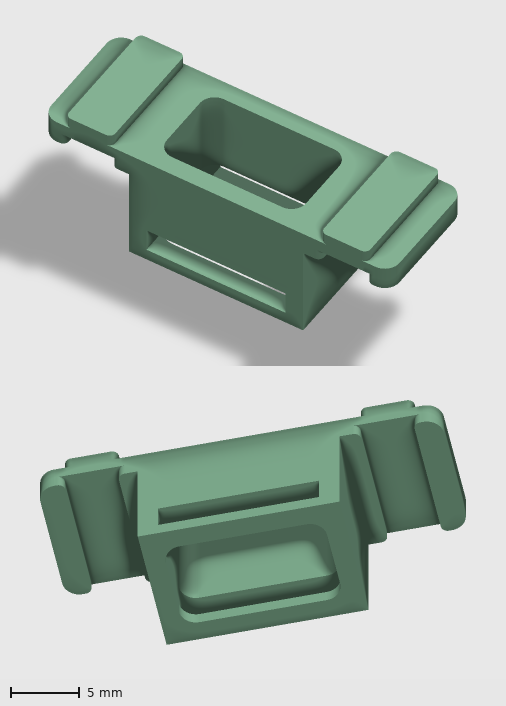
import cadquery as cq

length = 30.0
width = length / 3
unit = length / 30
plate_thickness = 2 * unit
plate_bottom = 8 * unit
plate_top = plate_bottom + plate_thickness
plate_corner_radius = 1.25

body_length = length / 2
wall = 1.5 * unit
opening_length = body_length - 2 * wall
opening_width = width - 2 * wall
opening_corner_radius = 1.25

window_height = 2 * unit
window_sill = unit

pad_length = 4 * unit
pad_height = unit
pad_offset = 11 * unit
pad_corner_radius = 0.5 * unit
groove_depth = unit
groove_mouth_radius = 0.5 * unit


def block(size_x, size_y, height, bottom, center_x=0):
    """Box centred on Y = 0, with its lower face at the given height."""
    return (
        cq.Workplane("XY", origin=(center_x, 0, bottom))
        .box(size_x, size_y, height, centered=(True, True, False))
    )


def grooved_plate():
    plate = block(length, width, plate_thickness, plate_bottom)
    plate = plate.edges("|Z").fillet(plate_corner_radius)
    for center_x in (-pad_offset, pad_offset):
        plate = plate.cut(groove(center_x))
    return plate


def groove(center_x):
    """Groove along Y whose side walls round outward at both mouths."""
    half_length = pad_length / 2
    half_width = width / 2
    radius = groove_mouth_radius
    flare = half_length + radius
    straight = half_width - radius
    return (
        cq.Workplane("XY", origin=(center_x, 0, plate_bottom))
        .moveTo(-flare, -half_width)
        .lineTo(flare, -half_width)
        .radiusArc((half_length, -straight), radius)
        .lineTo(half_length, straight)
        .radiusArc((flare, half_width), radius)
        .lineTo(-flare, half_width)
        .radiusArc((-half_length, straight), radius)
        .lineTo(-half_length, -straight)
        .radiusArc((-flare, -half_width), radius)
        .close()
        .extrude(groove_depth)
    )


def pad(center_x):
    raised = block(pad_length, width, pad_height, plate_top, center_x)
    return raised.edges("|Z").fillet(pad_corner_radius)


result = grooved_plate().union(block(body_length, width, plate_top, 0))

for pad_center in (-pad_offset, pad_offset):
    result = result.union(pad(pad_center))

opening = block(opening_length, opening_width, plate_top, 0)
result = result.cut(opening.edges("|Z").fillet(opening_corner_radius))

result = result.cut(block(opening_length, width, window_height, window_sill))